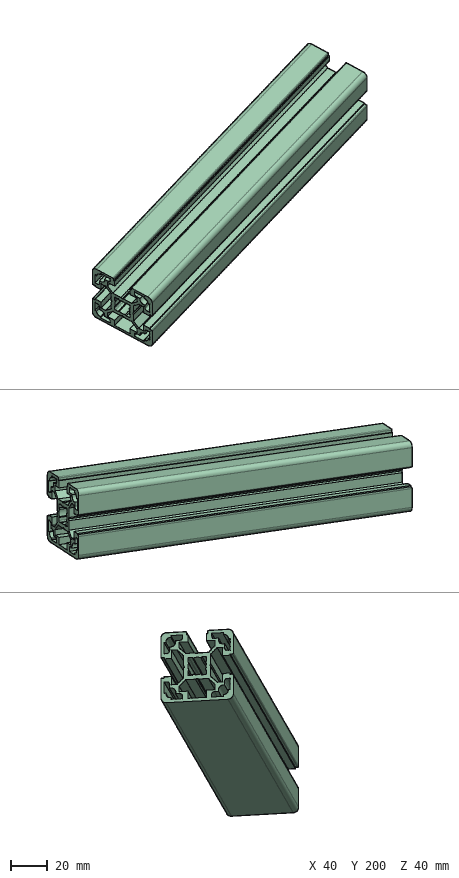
import cadquery as cq
import math

side = 40.0
length = 200.0
half_side = side / 2
corner_radius = 3.0

wall = 1.8
wall_inside = half_side - wall
mouth_half_width = 5.1
mouth_step_half_width = 5.8
mouth_step_level = 18.2
mouth_edge_radius = 0.5
lip_level = 14.1
slot_half_width = 9.85
rib_width = 1.7
rib_offset = rib_width / math.sqrt(2)
hub_half_side = 7.5

groove_half_width = 0.9
groove_depth = 0.4

bore_half_side = 5.1
bore_corner_radius = 0.6
core_radius = 5.0
tooth_tip_offset = 2.05
tooth_base_offset = 2.75

corner_bore_centre = 14.5
corner_bore_radius = 2.75
pocket_end = 8.05
pocket_floor = 15.2
pocket_fillet = 1.5

closed_slot_quarter = 2


def extruded(sketch):
    """Extrude a closed profile symmetrically along Y."""
    return sketch.extrude(length / 2, both=True)


def turned(body, quarter_turns):
    """Turn a body about the profile axis by quarter turns."""
    return body.rotate((0, 0, 0), (0, 1, 0), 90 * quarter_turns)


def outer_body():
    body = extruded(cq.Workplane("XZ").rect(side, side))
    return body.edges("|Y").fillet(corner_radius)


def slot_chamber(top_level):
    """Upper slot: undercut chamber, mouth up to top_level and V groove in the floor."""
    right_half = [
        (groove_half_width, hub_half_side),
        (hub_half_side - rib_offset, hub_half_side),
        (slot_half_width, slot_half_width + rib_offset),
        (slot_half_width, lip_level),
        (mouth_half_width, lip_level),
        (mouth_half_width, top_level),
    ]
    left_half = [(-x, z) for x, z in reversed(right_half)]
    groove_bottom = (0, hub_half_side - groove_depth)
    return extruded(cq.Workplane("XZ").polyline([groove_bottom] + right_half + left_half).close())


def open_slot():
    """Slot that breaks through the outer face, with a stepped mouth rounded at its outer edges."""
    step_height = half_side - mouth_step_level
    step = extruded(
        cq.Workplane("XZ")
        .center(0, mouth_step_level + step_height / 2)
        .rect(2 * mouth_step_half_width, step_height)
    )
    slot = slot_chamber(half_side).union(step)
    for direction in (-1, 1):
        edge = direction * mouth_step_half_width
        flare = edge + direction * mouth_edge_radius
        rounding = (
            cq.Workplane("XZ")
            .moveTo(edge, half_side)
            .lineTo(flare, half_side)
            .radiusArc((edge, half_side - mouth_edge_radius), -direction * mouth_edge_radius)
            .close()
        )
        slot = slot.union(extruded(rounding))
    return slot


def corner_pocket():
    """Hollow in the +X +Z corner: a round bore joined to a channel along each outer wall."""
    bore = extruded(
        cq.Workplane("XZ")
        .center(corner_bore_centre, corner_bore_centre)
        .circle(corner_bore_radius)
    )
    top_channel = (
        cq.Workplane("XZ")
        .moveTo(pocket_end, wall_inside)
        .lineTo(pocket_end, pocket_floor + pocket_fillet)
        .radiusArc((pocket_end + pocket_fillet, pocket_floor), -pocket_fillet)
        .lineTo(corner_bore_centre, pocket_floor)
        .lineTo(corner_bore_centre, wall_inside)
        .close()
    )
    channel = extruded(top_channel)
    diagonal_plane_normal = (1, 0, -1)
    return bore.union(channel).union(channel.mirror(diagonal_plane_normal))


def hub_bore():
    """Square bore with two teeth on each wall, their tips cut by a round bore."""
    bore = extruded(cq.Workplane("XZ").rect(2 * bore_half_side, 2 * bore_half_side))
    bore = bore.edges("|Y").fillet(bore_corner_radius)
    tip_level = math.sqrt(core_radius**2 - tooth_tip_offset**2)
    land = cq.Workplane("XZ").polyline([
        (-tooth_base_offset, bore_half_side),
        (-tooth_tip_offset, tip_level),
        (tooth_tip_offset, tip_level),
        (tooth_base_offset, bore_half_side),
    ]).close()
    land = extruded(land)
    for quarter in range(4):
        bore = bore.cut(turned(land, quarter))
    return bore.union(extruded(cq.Workplane("XZ").circle(core_radius)))


result = outer_body().cut(hub_bore())
for quarter in range(4):
    is_closed = quarter == closed_slot_quarter
    slot = slot_chamber(wall_inside) if is_closed else open_slot()
    result = result.cut(turned(slot, quarter))
    result = result.cut(turned(corner_pocket(), quarter))